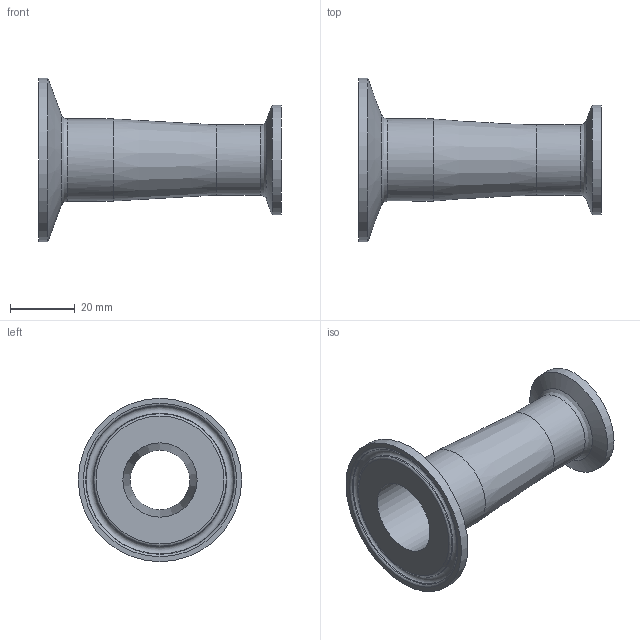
import cadquery as cq
import math

LENGTH = 75.0
LARGE_FLANGE_RADIUS = 50.5 / 2
SMALL_FLANGE_RADIUS = 34.0 / 2
LARGE_TUBE_RADIUS = 25.4 / 2
SMALL_TUBE_RADIUS = 21.7 / 2
LARGE_BORE_RADIUS = 23.0 / 2
SMALL_BORE_RADIUS = 18.4 / 2

RIM_THICKNESS = 2.85
FLANGE_BACK_ANGLE = 20.0
NECK_FILLET = 2.0

TAPER_START = 23.0
TAPER_LENGTH = 32.0

GROOVE_RADIUS = 43.5 / 2
GROOVE_BOTTOM_ARC = 1.2
GROOVE_LIP_ARC = 0.8
GROOVE_WALL_ANGLE = 70
GROOVE_WALL_LENGTH = 0.3

LARGE_FACE_X = -LENGTH / 2
SMALL_FACE_X = LENGTH / 2
TAPER_START_X = LARGE_FACE_X + TAPER_START
TAPER_END_X = TAPER_START_X + TAPER_LENGTH


def revolve_about_x(profile):
    """Turn a closed XZ profile a full circle about the X axis."""
    return profile.close().revolve(360, (0, 0, 0), (1, 0, 0))


def ferrule_depth(flange_radius, tube_radius):
    """Distance from a flange face to where its conical back meets the tube."""
    back_slope = math.tan(math.radians(FLANGE_BACK_ANGLE))
    return RIM_THICKNESS + (flange_radius - tube_radius) * back_slope


def make_outer_body():
    large_neck_x = LARGE_FACE_X + ferrule_depth(LARGE_FLANGE_RADIUS, LARGE_TUBE_RADIUS)
    small_neck_x = SMALL_FACE_X - ferrule_depth(SMALL_FLANGE_RADIUS, SMALL_TUBE_RADIUS)
    profile = (
        cq.Workplane("XZ")
        .moveTo(LARGE_FACE_X, 0)
        .lineTo(LARGE_FACE_X, LARGE_FLANGE_RADIUS)
        .lineTo(LARGE_FACE_X + RIM_THICKNESS, LARGE_FLANGE_RADIUS)
        .lineTo(large_neck_x, LARGE_TUBE_RADIUS)
        .lineTo(TAPER_START_X, LARGE_TUBE_RADIUS)
        .lineTo(TAPER_END_X, SMALL_TUBE_RADIUS)
        .lineTo(small_neck_x, SMALL_TUBE_RADIUS)
        .lineTo(SMALL_FACE_X - RIM_THICKNESS, SMALL_FLANGE_RADIUS)
        .lineTo(SMALL_FACE_X, SMALL_FLANGE_RADIUS)
        .lineTo(SMALL_FACE_X, 0)
    )
    body = revolve_about_x(profile)
    for neck_x, tube_radius in (
        (large_neck_x, LARGE_TUBE_RADIUS),
        (small_neck_x, SMALL_TUBE_RADIUS),
    ):
        body = fillet_neck(body, neck_x, tube_radius)
    return body


def fillet_neck(body, neck_x, tube_radius):
    """Round the circular inside corner between a flange back and its tube."""
    margin = NECK_FILLET / 4
    reach = tube_radius + margin
    corner = cq.selectors.BoxSelector(
        (neck_x - margin, -reach, -reach),
        (neck_x + margin, reach, reach),
        boundingbox=True,
    )
    return body.edges("%CIRCLE").edges(corner).fillet(NECK_FILLET)


def make_bore():
    profile = (
        cq.Workplane("XZ")
        .moveTo(LARGE_FACE_X, 0)
        .lineTo(LARGE_FACE_X, LARGE_BORE_RADIUS)
        .lineTo(TAPER_START_X, LARGE_BORE_RADIUS)
        .lineTo(TAPER_END_X, SMALL_BORE_RADIUS)
        .lineTo(SMALL_FACE_X, SMALL_BORE_RADIUS)
        .lineTo(SMALL_FACE_X, 0)
    )
    return revolve_about_x(profile)


def make_gasket_groove():
    """Ring of metal removed by the groove; lips run tangent into the face."""
    wall = math.radians(GROOVE_WALL_ANGLE)

    bottom_offset = GROOVE_BOTTOM_ARC * math.sin(wall)
    wall_offset = bottom_offset + GROOVE_WALL_LENGTH * math.cos(wall)
    lip_offset = wall_offset + GROOVE_LIP_ARC * math.sin(wall)
    lip_mid_offset = lip_offset - GROOVE_LIP_ARC * math.sin(wall / 2)

    lip_mid_x = LARGE_FACE_X + GROOVE_LIP_ARC * (1 - math.cos(wall / 2))
    wall_x = LARGE_FACE_X + GROOVE_LIP_ARC * (1 - math.cos(wall))
    bottom_edge_x = wall_x + GROOVE_WALL_LENGTH * math.sin(wall)
    bottom_x = bottom_edge_x + GROOVE_BOTTOM_ARC * (1 - math.cos(wall))

    profile = (
        cq.Workplane("XZ")
        .moveTo(LARGE_FACE_X, GROOVE_RADIUS - lip_offset)
        .threePointArc((lip_mid_x, GROOVE_RADIUS - lip_mid_offset), (wall_x, GROOVE_RADIUS - wall_offset))
        .lineTo(bottom_edge_x, GROOVE_RADIUS - bottom_offset)
        .threePointArc((bottom_x, GROOVE_RADIUS), (bottom_edge_x, GROOVE_RADIUS + bottom_offset))
        .lineTo(wall_x, GROOVE_RADIUS + wall_offset)
        .threePointArc((lip_mid_x, GROOVE_RADIUS + lip_mid_offset), (LARGE_FACE_X, GROOVE_RADIUS + lip_offset))
    )
    return revolve_about_x(profile)


result = make_outer_body().cut(make_bore()).cut(make_gasket_groove())